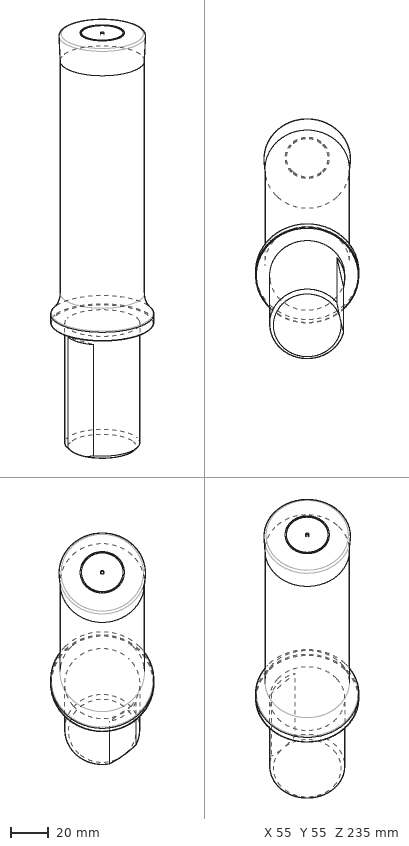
import cadquery as cq
import math

total_height = 235.0
shank_length = 70.0
flange_top = 75.7
flare_top = 87.0
tip_length = 16.0
tip_base = total_height - tip_length

shank_radius = 40.0 / 2
shank_chamfer = 2.0
flange_radius = 55.0 / 2
flange_chamfer = 0.5
barrel_radius = 45.0 / 2
flat_width = 17.6
flat_top = 65.0

tip_radius = 23.0
corner_radius = 1.2
face_drop = 0.7
groove_outer_radius = 11.8
groove_width = 0.7
groove_depth = 0.2
center_hole_radius = 1.0
center_hole_depth = 1.2


def make_holder():
    """Revolved shank, flange, flared neck and barrel, with a clamping flat."""
    flare_height = flare_top - flange_top
    flare_end_radius = flange_radius - flange_chamfer
    flare_step = flare_end_radius - barrel_radius
    arc_radius = (flare_step**2 + flare_height**2) / (2 * flare_step)
    mid_angle = math.asin(flare_height / arc_radius) / 2
    flare_middle = (
        barrel_radius + arc_radius * (1 - math.cos(mid_angle)),
        flare_top - arc_radius * math.sin(mid_angle),
    )
    body = (
        cq.Workplane("XZ")
        .moveTo(0, 0)
        .lineTo(shank_radius - shank_chamfer, 0)
        .lineTo(shank_radius, shank_chamfer)
        .lineTo(shank_radius, shank_length)
        .lineTo(flange_radius - flange_chamfer, shank_length)
        .lineTo(flange_radius, shank_length + flange_chamfer)
        .lineTo(flange_radius, flange_top - flange_chamfer)
        .lineTo(flare_end_radius, flange_top)
        .threePointArc(flare_middle, (barrel_radius, flare_top))
        .lineTo(barrel_radius, tip_base)
        .lineTo(0, tip_base)
        .close()
        .revolve(360, (0, 0, 0), (0, 1, 0))
    )

    flat_distance = math.sqrt(shank_radius**2 - (flat_width / 2) ** 2)
    flat_cutter = cq.Workplane("XY").box(
        2 * shank_radius, shank_radius, flat_top, centered=(True, False, False)
    ).translate((0, -flat_distance - shank_radius, 0))
    return body.cut(flat_cutter)


def make_cutting_tip():
    """Tip that widens upward, with a rounded rim and a slightly conical end face."""
    rim_height = total_height - face_drop
    corner_center = (tip_radius - corner_radius, rim_height - corner_radius)
    corner_offset = corner_radius * math.sqrt(0.5)
    tip = (
        cq.Workplane("XZ")
        .moveTo(0, tip_base)
        .lineTo(barrel_radius, tip_base)
        .lineTo(tip_radius, corner_center[1])
        .threePointArc(
            (corner_center[0] + corner_offset, corner_center[1] + corner_offset),
            (corner_center[0], rim_height),
        )
        .lineTo(groove_outer_radius, total_height)
        .lineTo(0, total_height)
        .close()
        .revolve(360, (0, 0, 0), (0, 1, 0))
    )

    groove = (
        cq.Workplane("XY", origin=(0, 0, total_height - groove_depth))
        .circle(groove_outer_radius)
        .circle(groove_outer_radius - groove_width)
        .extrude(groove_depth)
    )
    center_hole = (
        cq.Workplane("XY", origin=(0, 0, total_height - center_hole_depth))
        .circle(center_hole_radius)
        .extrude(center_hole_depth)
    )
    return tip.cut(groove).cut(center_hole)


holder = make_holder()
cutting_tip = make_cutting_tip()

result = cq.Compound.makeCompound([holder.val(), cutting_tip.val()])